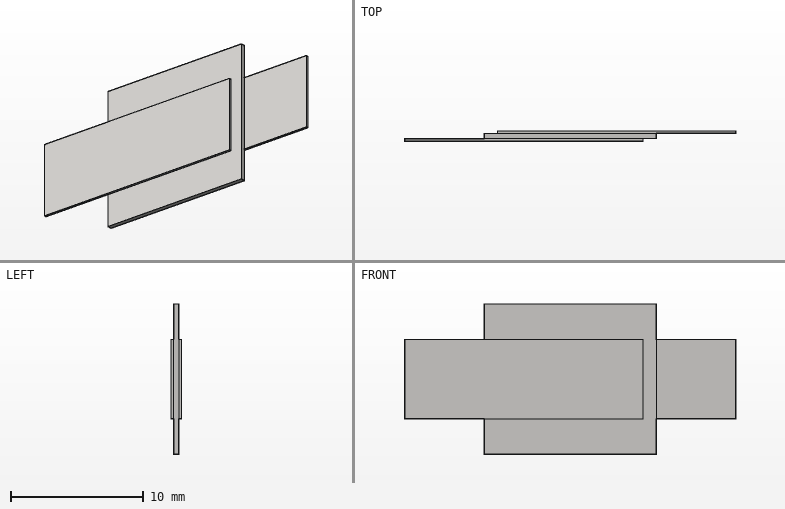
import cadquery as cq

overall_length = 25.0

plate_length = 13.0
plate_height = 11.35
plate_thickness = 0.4

tab_length = 18.0
tab_height = 6.0
tab_thickness = 0.2

tab_offset_x = (overall_length - tab_length) / 2
tab_offset_y = (plate_thickness + tab_thickness) / 2


def make_plate():
    """Central plate, centred on the origin."""
    return cq.Workplane("XY").box(plate_length, plate_thickness, plate_height)


def make_tab(side):
    """Tab on the -Y face reaching towards -X (side -1), or on +Y towards +X (side +1)."""
    tab = cq.Workplane("XY").box(tab_length, tab_thickness, tab_height)
    return tab.translate((side * tab_offset_x, side * tab_offset_y, 0))


result = make_plate()
for side in (-1, 1):
    result = result.union(make_tab(side))